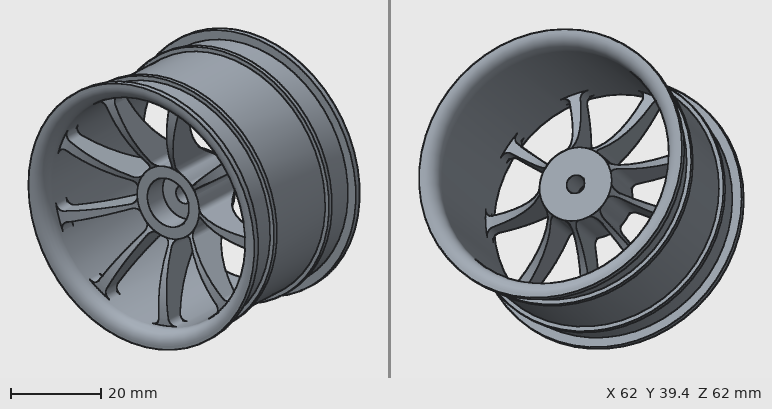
import cadquery as cq
import math


flange_radius = 31.0
wheel_width = 39.4
flange_thickness = 1.5
flange_land = 0.9
barrel_radius = 28.8
barrel_bore_radius = 26.9
bead_round = flange_radius - flange_land - barrel_bore_radius
front_y = -wheel_width / 2
back_y = wheel_width / 2

rib_radius = 29.9
rib_width = 1.1
rib_inset = 8.85

hub_radius = 8.5
hub_front_y = -9.7
hub_back_y = 3.7
counterbore_radius = 5.7
counterbore_depth = 5.75
axle_hole_radius = 2.1

spoke_count = 9
spoke_pitch = 360 / spoke_count
spoke_angle = 6.0
spoke_turn = -3.0
window_hub_corner = 1.6
window_rim_corner = 1.75
dish_mid_radius = 17.35
dish_front_mid_y = -14.3
dish_back_mid_y = -7.3
dish_front_rim_y = -15.5
dish_back_rim_y = -11.6


def ring(inner_radius, outer_radius, start_y, length):
    """Plain ring around the Y axis, growing towards +Y."""
    outline = (
        cq.Workplane("XY")
        .moveTo(inner_radius, start_y)
        .lineTo(outer_radius, start_y)
        .lineTo(outer_radius, start_y + length)
        .lineTo(inner_radius, start_y + length)
        .close()
    )
    return outline.revolve(360, (0, 0, 0), (0, 1, 0))


def cylinder(radius, start_y, length):
    """Solid cylinder along +Y."""
    return cq.Workplane("XZ", origin=(0, start_y, 0)).circle(radius).extrude(-length)


def make_barrel():
    """Open barrel with a flange at each end, two ribs and rounded mouths."""
    round_middle = bead_round * (1 - math.sqrt(0.5))
    land_radius = flange_radius - flange_land
    barrel = (
        cq.Workplane("XY")
        .moveTo(barrel_bore_radius, front_y + bead_round)
        .threePointArc(
            (barrel_bore_radius + round_middle, front_y + round_middle),
            (land_radius, front_y),
        )
        .lineTo(flange_radius, front_y)
        .lineTo(flange_radius, front_y + flange_thickness)
        .lineTo(barrel_radius, front_y + flange_thickness)
        .lineTo(barrel_radius, back_y - flange_thickness)
        .lineTo(flange_radius, back_y - flange_thickness)
        .lineTo(flange_radius, back_y)
        .lineTo(land_radius, back_y)
        .threePointArc(
            (barrel_bore_radius + round_middle, back_y - round_middle),
            (barrel_bore_radius, back_y - bead_round),
        )
        .close()
        .revolve(360, (0, 0, 0), (0, 1, 0))
    )
    wall_middle_radius = (barrel_bore_radius + barrel_radius) / 2
    for rib_y in (front_y + rib_inset, back_y - rib_inset - rib_width):
        barrel = barrel.union(ring(wall_middle_radius, rib_radius, rib_y, rib_width))
    return barrel


def polar(radius, angle):
    """Point at a radius and an angle in degrees."""
    return (radius * math.cos(math.radians(angle)), radius * math.sin(math.radians(angle)))


def make_window():
    """Cutter for the opening between two spokes, centred on +X and as long as the wheel."""
    half_angle = (spoke_pitch - spoke_angle) / 2
    window = (
        cq.Workplane("XZ", origin=(0, back_y, 0))
        .moveTo(*polar(hub_radius, -half_angle))
        .lineTo(*polar(barrel_bore_radius, -half_angle))
        .threePointArc((barrel_bore_radius, 0), polar(barrel_bore_radius, half_angle))
        .lineTo(*polar(hub_radius, half_angle))
        .threePointArc((hub_radius, 0), polar(hub_radius, -half_angle))
        .close()
        .extrude(wheel_width)
    )
    window = window.edges("|Y").edges("<X").fillet(window_hub_corner)
    return window.edges("|Y").edges(">X").fillet(window_rim_corner)


def make_spokes():
    """Dished web between hub and barrel, cut into spokes by the windows."""
    web = (
        cq.Workplane("XY")
        .moveTo(0, hub_front_y)
        .lineTo(hub_radius, hub_front_y)
        .threePointArc((dish_mid_radius, dish_front_mid_y), (barrel_bore_radius, dish_front_rim_y))
        .lineTo(barrel_bore_radius, dish_back_rim_y)
        .threePointArc((dish_mid_radius, dish_back_mid_y), (hub_radius, hub_back_y))
        .lineTo(0, hub_back_y)
        .close()
        .revolve(360, (0, 0, 0), (0, 1, 0))
    )
    window = make_window()
    for index in range(spoke_count):
        window_angle = (index + 0.5) * spoke_pitch
        web = web.cut(window.rotate((0, 0, 0), (0, -1, 0), window_angle))
    return web


counterbore = cylinder(counterbore_radius, hub_front_y, counterbore_depth)
axle_hole = cylinder(axle_hole_radius, hub_front_y, hub_back_y - hub_front_y)
wheel = make_barrel().union(make_spokes()).cut(counterbore).cut(axle_hole)
result = wheel.rotate((0, 0, 0), (0, -1, 0), spoke_turn)